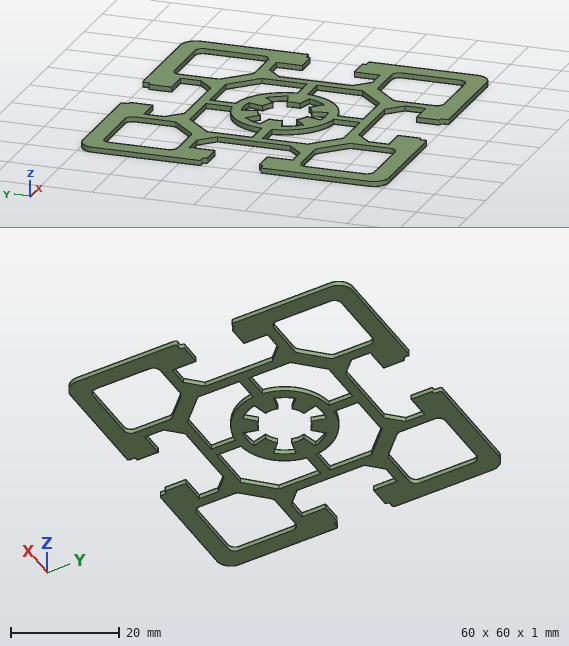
import cadquery as cq
import math

SIZE = 60.0
THICKNESS = 1.0
CORNER_RADIUS = 3.0
HALF = SIZE / 2

LIP_THICKNESS = 6.0
SLOT_HALF_OPENING = 5.1
SLOT_HALF_WIDTH = 10.1
SLOT_FLOOR = 17.05
SLOT_FLOOR_CHAMFER = 2.95
LIP_STEP_WIDTH = 0.75
LIP_STEP_DEPTH = 1.5
LIP_EDGE_RADIUS = 0.4
LIP_STEP_RADIUS = 0.35
LIP_TIP_RADIUS = 0.25

OUTER_WALL = 3.55
INNER_WALL = 2.0
CORNER_HOLLOW_CHAMFER = 5.0
CORNER_HOLLOW_RADIUS = 1.5

WEB_HALF_WIDTH = 1.0
WINDOW_OUTER = SLOT_FLOOR - INNER_WALL
WINDOW_CHAMFER = 5.2

HUB_OUTER_RADIUS = 10.0
HUB_ROOT_RADIUS = 8.0
HUB_TIP_RADIUS = 5.0
TOOTH_COUNT = 6
TOOTH_PITCH = 360 / TOOTH_COUNT
HALF_GAP_ANGLE = TOOTH_PITCH / 4

SIDES = 4
SIDE_ANGLE = 360 / SIDES
TOLERANCE = 0.001


def around_sides(cutter):
    """Repeat a cutter on all four sides or corners."""
    copies = cutter
    for i in range(1, SIDES):
        copies = copies.union(cutter.rotate((0, 0, 0), (0, 0, 1), i * SIDE_ANGLE))
    return copies


def make_blank():
    blank = cq.Workplane("XY").rect(SIZE, SIZE).extrude(THICKNESS)
    return blank.edges("|Z").fillet(CORNER_RADIUS)


def make_slot():
    """T-slot open to +Y, with a chamfered floor and stepped lips."""
    lip_bottom = HALF - LIP_THICKNESS
    step_bottom = HALF - LIP_STEP_DEPTH
    step_half_width = SLOT_HALF_OPENING + LIP_STEP_WIDTH
    right_side = [
        (SLOT_HALF_WIDTH - SLOT_FLOOR_CHAMFER, SLOT_FLOOR),
        (SLOT_HALF_WIDTH, SLOT_FLOOR + SLOT_FLOOR_CHAMFER),
        (SLOT_HALF_WIDTH, lip_bottom),
        (SLOT_HALF_OPENING, lip_bottom),
        (SLOT_HALF_OPENING, step_bottom),
        (step_half_width, step_bottom),
        (step_half_width, HALF),
    ]
    left_side = [(-x, y) for x, y in reversed(right_side)]
    return cq.Workplane("XY").polyline(right_side + left_side).close().extrude(THICKNESS)


def round_lip_corner(plate, sideways, outward, radius):
    """Round one lip corner, given by its offsets from the slot axis and from the centre, on every lip."""

    def is_lip_corner(edge):
        offsets = sorted((abs(edge.Center().x), abs(edge.Center().y)))
        return math.dist(offsets, (sideways, outward)) < TOLERANCE

    return plate.edges("|Z").filter(is_lip_corner).fillet(radius)


def round_lips(plate):
    step_bottom = HALF - LIP_STEP_DEPTH
    step_half_width = SLOT_HALF_OPENING + LIP_STEP_WIDTH
    plate = round_lip_corner(plate, step_half_width, HALF, LIP_EDGE_RADIUS)
    plate = round_lip_corner(plate, step_half_width, step_bottom, LIP_STEP_RADIUS)
    return round_lip_corner(plate, SLOT_HALF_OPENING, step_bottom, LIP_TIP_RADIUS)


def make_corner_hollow():
    """Square hollow in the +X +Y corner, cut off diagonally towards the hub."""
    near = SLOT_HALF_WIDTH + INNER_WALL
    far = HALF - OUTER_WALL
    chamfer_end = near + CORNER_HOLLOW_CHAMFER
    points = [(far, far), (near, far), (near, chamfer_end), (chamfer_end, near), (far, near)]
    hollow = cq.Workplane("XY").polyline(points).close().extrude(THICKNESS)
    return hollow.edges("|Z").fillet(CORNER_HOLLOW_RADIUS)


def make_window():
    """Window in the +X +Y quadrant, bounded by the webs and the hub ring."""
    chamfer_start = WINDOW_OUTER - WINDOW_CHAMFER
    points = [
        (WEB_HALF_WIDTH, WEB_HALF_WIDTH),
        (WINDOW_OUTER, WEB_HALF_WIDTH),
        (WINDOW_OUTER, chamfer_start),
        (chamfer_start, WINDOW_OUTER),
        (WEB_HALF_WIDTH, WINDOW_OUTER),
    ]
    window = cq.Workplane("XY").polyline(points).close().extrude(THICKNESS)
    return window.cut(cq.Workplane("XY").circle(HUB_OUTER_RADIUS).extrude(THICKNESS))


def polar(radius, degrees):
    angle = math.radians(degrees)
    return (radius * math.cos(angle), radius * math.sin(angle))


def make_hub_bore():
    """Bore with radial gaps reaching the root circle; teeth and gaps are equally wide."""
    bore = cq.Workplane("XY").circle(HUB_TIP_RADIUS).extrude(THICKNESS)
    for i in range(TOOTH_COUNT):
        middle = (i + 0.5) * TOOTH_PITCH
        gap = (
            cq.Workplane("XY")
            .lineTo(*polar(HUB_ROOT_RADIUS, middle - HALF_GAP_ANGLE))
            .threePointArc(polar(HUB_ROOT_RADIUS, middle), polar(HUB_ROOT_RADIUS, middle + HALF_GAP_ANGLE))
            .close()
            .extrude(THICKNESS)
        )
        bore = bore.union(gap)
    return bore


plate = make_blank().cut(around_sides(make_slot()))
plate = round_lips(plate)
result = (
    plate.cut(around_sides(make_corner_hollow()))
    .cut(around_sides(make_window()))
    .cut(make_hub_bore())
)